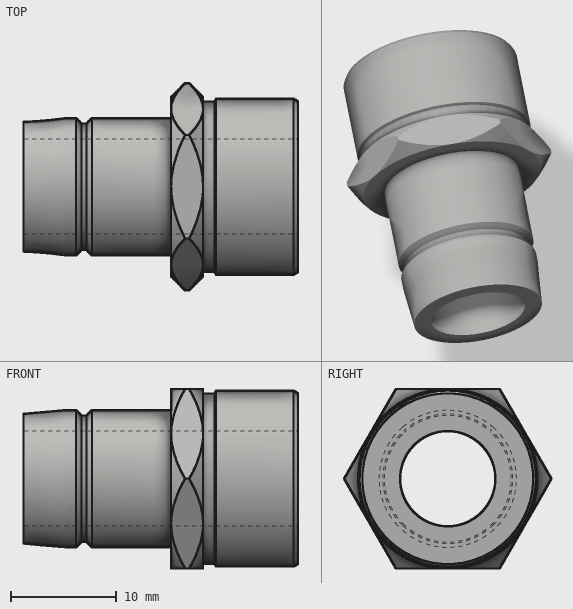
import cadquery as cq
import math

total_length = 26.0
nose_length = 4.0
groove_start = 5.0
groove_step = 0.5
hex_start = 14.0
hex_width = 3.02
neck_end = 18.1
body_start = 18.25
end_chamfer_length = 0.45

bore_radius = 4.5
spigot_radius = 6.5
nose_taper_angle = 5.0
nose_tip_radius = spigot_radius - nose_length * math.tan(math.radians(nose_taper_angle))
groove_radius = spigot_radius - groove_step
neck_radius = 8.09
body_radius = 8.35
end_radius = neck_radius

across_flats = 17.0
across_corners = across_flats / math.cos(math.pi / 6)

hex_end = hex_start + hex_width
groove_floor_start = groove_start + groove_step
groove_floor_end = groove_floor_start + groove_step
groove_end = groove_floor_end + groove_step


def revolve_about_x(profile):
    """Revolve a closed profile, drawn as (x, radius), about the X axis."""
    return profile.close().revolve(360, (0, 0, 0), (1, 0, 0))


def make_turned_body():
    """Spigot with tapered nose and groove, then the neck and the large end."""
    profile = (
        cq.Workplane("XZ")
        .lineTo(0, nose_tip_radius)
        .lineTo(nose_length, spigot_radius)
        .lineTo(groove_start, spigot_radius)
        .lineTo(groove_floor_start, groove_radius)
        .lineTo(groove_floor_end, groove_radius)
        .lineTo(groove_end, spigot_radius)
        .lineTo(hex_start, spigot_radius)
        .lineTo(hex_start, neck_radius)
        .lineTo(neck_end, neck_radius)
        .lineTo(body_start, body_radius)
        .lineTo(total_length - end_chamfer_length, body_radius)
        .lineTo(total_length, end_radius)
        .lineTo(total_length, 0)
    )
    return revolve_about_x(profile)


def make_hexagon():
    """Hexagon with corners on the Y axis, both faces chamfered by a 45 degree cone."""
    prism = (
        cq.Workplane("YZ", origin=(hex_start, 0, 0))
        .polygon(6, across_corners)
        .extrude(hex_width)
    )
    face_radius = across_flats / 2
    corner_radius = across_corners / 2
    chamfer_length = corner_radius - face_radius
    profile = (
        cq.Workplane("XZ")
        .moveTo(hex_start, 0)
        .lineTo(hex_start, face_radius)
        .lineTo(hex_start + chamfer_length, corner_radius)
        .lineTo(hex_end - chamfer_length, corner_radius)
        .lineTo(hex_end, face_radius)
        .lineTo(hex_end, 0)
    )
    return prism.intersect(revolve_about_x(profile))


bore = cq.Workplane("YZ").circle(bore_radius).extrude(total_length)

result = make_turned_body().union(make_hexagon()).cut(bore)